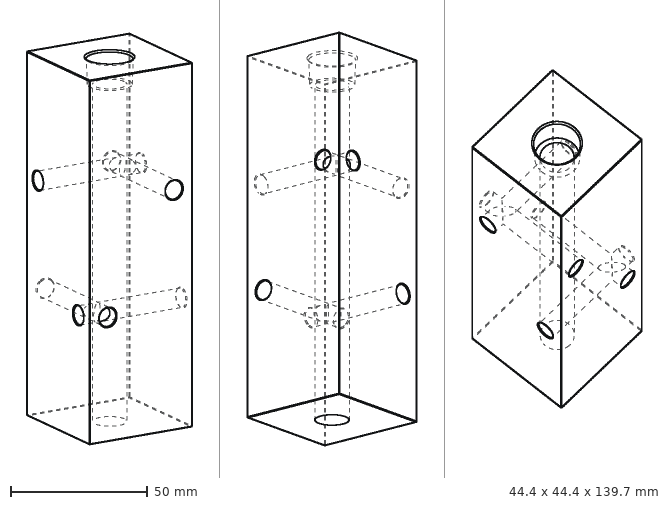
import cadquery as cq

length = 139.7
side = 44.4
edge_chamfer = 0.3

bore_diameter = 12.6
port_mouth_diameter = 18.6
port_diameter = 17.2
port_taper = 1 / 16
port_depth = 10.3
port_chamfer = (port_mouth_diameter - port_diameter) / 2

cross_hole_diameter = 7.1
cross_hole_chamfer = 0.35
cross_hole_offset = 14.2
cross_hole_height = 22.2


def revolve_about_z(profile):
    """Solid of revolution from (radius, height) points."""
    return cq.Workplane("XZ").polyline(profile).close().revolve(360, (0, 0), (0, 1))


def make_block():
    """Square bar centred on the origin with all its edges broken."""
    return cq.Workplane("XY").box(side, side, length).edges().chamfer(edge_chamfer)


def make_axial_bore():
    """Cutter for the bore, the tapered port above it and the port's mouth chamfer."""
    top = length / 2
    port_end_diameter = port_diameter - port_taper * (port_depth - port_chamfer)
    return revolve_about_z([
        (0, -top),
        (bore_diameter / 2, -top),
        (bore_diameter / 2, top - port_depth),
        (port_end_diameter / 2, top - port_depth),
        (port_diameter / 2, top - port_chamfer),
        (port_mouth_diameter / 2, top),
        (0, top),
    ])


def make_cross_hole():
    """Cutter for one cross hole, standing along Z and chamfered at both mouths."""
    end = side / 2
    radius = cross_hole_diameter / 2
    mouth_radius = radius + cross_hole_chamfer
    return revolve_about_z([
        (0, -end),
        (mouth_radius, -end),
        (radius, -end + cross_hole_chamfer),
        (radius, end - cross_hole_chamfer),
        (mouth_radius, end),
        (0, end),
    ])


def cut_cross_holes(body):
    """Cut the diagonal pairs; at each level the X and Y holes cross near a long edge."""
    cutter = make_cross_hole()
    along_x = cutter.rotate((0, 0, 0), (0, 1, 0), 90)
    along_y = cutter.rotate((0, 0, 0), (1, 0, 0), 90)
    for level in (1, -1):
        height = level * cross_hole_height
        shift = level * cross_hole_offset
        body = body.cut(along_x.translate((0, shift, height)))
        body = body.cut(along_y.translate((-shift, 0, height)))
    return body


result = cut_cross_holes(make_block().cut(make_axial_bore()))